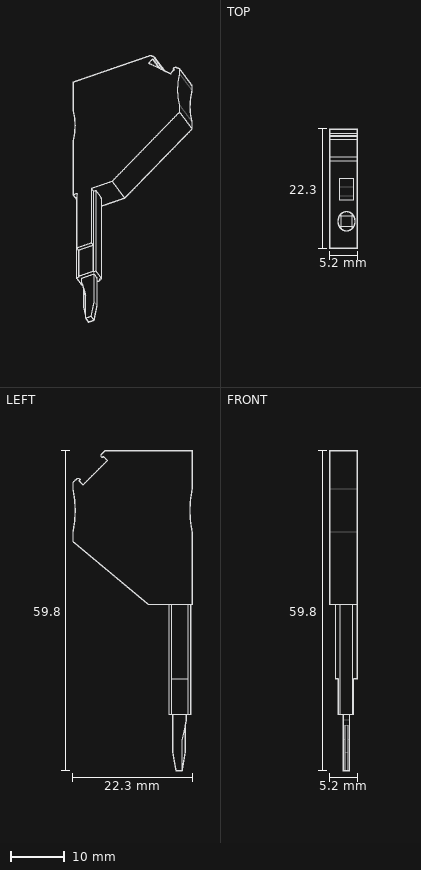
import cadquery as cq


WIDTH = 5.2
DEPTH = 22.3
HEIGHT = 28.75
TOTAL_HEIGHT = 59.83
BOTTOM_REAR = 8.2
SLOPE_TOP = 11.75

GRIP_CENTRE = 17.55
GRIP_HALF_HEIGHT = 4.0
GRIP_SAG = 0.42

SEAT_UPPER_CORNER = (15.85, HEIGHT - 1.84)
SEAT_LOWER_CORNER = (20.4, HEIGHT - 6.39)
LIP_START = 16.3
LIP_CHAMFER = 0.75
LIP_NOSE = 0.35
LIP_BARB = 0.22

SLOT_X = (1.8, 4.5)
SLOT_Y = (9.05, 13.1)
SLOT_DEPTH = 4.8
SLOT_FLOOR_FRONT = 11.45
SLOT_HOLLOW_FRONT = 9.8
SLOT_HOLLOW_RISE = 1.3

ENTRY_CENTRE = (3.15, 5.08)
ENTRY_SIZE = (3.2, 3.65)
ENTRY_BORE_DEPTH = 5.0
FUNNEL_DEPTH = 1.5
FUNNEL_FLOOR_SIZE = 2.0
FUNNEL_TAPER = 30.0

CORE_X = (1.6, 4.5)
CORE_Y = (0.25, 4.35)
CORE_LENGTH = 20.55
SIDE_RIB_Y = (0.8, 3.85)
FRONT_RIB_X = (1.95, 4.3)
SLEEVE_X = (1.05, WIDTH)
SLEEVE_LENGTH = 13.9

BLADE_X = (2.5, 3.75)
BLADE_Y = (1.08, 3.67)
BLADE_TIP_Y = (1.88, 3.05)
TAPER_TOP_Z = -27.6
RELIEF_TOP_Z = -21.6
RELIEF_BOTTOM_Z = -25.2
RELIEF_Y = 1.88
RIB_X = (2.88, 3.4)
RIB_Y = 1.3
TIP_Z = HEIGHT - TOTAL_HEIGHT


def box(x_range, y_range, z_range):
    """Axis-aligned box between the given limits."""
    ranges = (x_range, y_range, z_range)
    size = [high - low for low, high in ranges]
    corner = tuple(low for low, high in ranges)
    return cq.Workplane("XY").box(*size, centered=False).translate(corner)


def profile(points, x_range):
    """Closed polygon of (Y, Z) points extruded between two X limits."""
    low, high = x_range
    return cq.Workplane("YZ", origin=(low, 0, 0)).polyline(points).close().extrude(high - low)


def mirror_across_seat(point):
    """Mirror a (Y, Z) point about the line square to the seat through its middle."""
    mid_y = (SEAT_UPPER_CORNER[0] + SEAT_LOWER_CORNER[0]) / 2
    mid_z = (SEAT_UPPER_CORNER[1] + SEAT_LOWER_CORNER[1]) / 2
    return (mid_y + point[1] - mid_z, mid_z + point[0] - mid_y)


def upper_lip():
    """Points of the upper lip, from the top face to the inner corner of the seat."""
    nose_y = LIP_START + LIP_CHAMFER
    nose_top = HEIGHT - LIP_CHAMFER
    nose_bottom = nose_top - LIP_NOSE
    return [
        (LIP_START, HEIGHT),
        (nose_y, nose_top),
        (nose_y, nose_bottom),
        (nose_y - LIP_BARB, nose_bottom - LIP_BARB),
        (nose_y - 2 * LIP_BARB, nose_bottom),
        SEAT_UPPER_CORNER,
    ]


def make_housing():
    lip = upper_lip()
    lower_lip = [mirror_across_seat(point) for point in reversed(lip)]
    grip_top = GRIP_CENTRE + GRIP_HALF_HEIGHT
    grip_bottom = GRIP_CENTRE - GRIP_HALF_HEIGHT
    outline = cq.Workplane("YZ").moveTo(0, 0).lineTo(0, grip_bottom)
    outline = outline.threePointArc((GRIP_SAG, GRIP_CENTRE), (0, grip_top)).lineTo(0, HEIGHT)
    for point in lip + lower_lip[:-1]:
        outline = outline.lineTo(*point)
    outline = outline.lineTo(DEPTH, lower_lip[-1][1]).lineTo(DEPTH, grip_top)
    outline = outline.threePointArc((DEPTH - GRIP_SAG, GRIP_CENTRE), (DEPTH, grip_bottom))
    return outline.lineTo(DEPTH, SLOPE_TOP).lineTo(BOTTOM_REAR, 0).close().extrude(WIDTH)


def make_slot():
    """Slot with a flat rear floor, a hollow rising to the front and a steep front wall."""
    floor_z = HEIGHT - SLOT_DEPTH
    hollow_run = SLOT_FLOOR_FRONT - SLOT_HOLLOW_FRONT
    return (
        cq.Workplane("YZ", origin=(SLOT_X[0], 0, 0))
        .moveTo(SLOT_Y[1], HEIGHT)
        .lineTo(SLOT_Y[1], floor_z)
        .lineTo(SLOT_FLOOR_FRONT, floor_z)
        .tangentArcPoint((-hollow_run, SLOT_HOLLOW_RISE), relative=True)
        .lineTo(SLOT_Y[0], HEIGHT)
        .close()
        .extrude(SLOT_X[1] - SLOT_X[0])
    )


def make_wire_entry():
    radius_x, radius_y = (size / 2 for size in ENTRY_SIZE)
    full_depth = ENTRY_BORE_DEPTH + FUNNEL_DEPTH
    oval = (
        cq.Workplane("XY", origin=(*ENTRY_CENTRE, HEIGHT))
        .ellipse(radius_x, radius_y)
        .extrude(-full_depth)
    )
    bore = oval.intersect(box((0, WIDTH), (0, DEPTH), (HEIGHT - ENTRY_BORE_DEPTH, HEIGHT)))
    funnel = (
        cq.Workplane("XY", origin=(*ENTRY_CENTRE, HEIGHT - full_depth))
        .rect(FUNNEL_FLOOR_SIZE, FUNNEL_FLOOR_SIZE)
        .extrude(FUNNEL_DEPTH, taper=-FUNNEL_TAPER)
    )
    return bore.union(funnel.intersect(oval))


def make_stem():
    """Plus-shaped core, with a shorter sleeve around its upper part."""
    side_ribs = box(CORE_X, SIDE_RIB_Y, (-CORE_LENGTH, 0))
    front_rear_ribs = box(FRONT_RIB_X, CORE_Y, (-CORE_LENGTH, 0))
    sleeve = box(SLEEVE_X, SIDE_RIB_Y, (-SLEEVE_LENGTH, 0))
    return side_ribs.union(front_rear_ribs).union(sleeve)


def make_blade():
    """Blade thinned at the front, with a narrow rib standing on the thinned face."""
    front, rear = BLADE_Y
    tip_front, tip_rear = BLADE_TIP_Y
    blade_points = [
        (rear, -CORE_LENGTH),
        (rear, TAPER_TOP_Z),
        (tip_rear, TIP_Z),
        (RELIEF_Y, TIP_Z),
        (RELIEF_Y, RELIEF_BOTTOM_Z),
        (front, RELIEF_TOP_Z),
        (front, -CORE_LENGTH),
    ]
    rib_points = [
        (rear, RELIEF_TOP_Z),
        (RIB_Y, RELIEF_TOP_Z),
        (RIB_Y, TAPER_TOP_Z),
        (tip_front, TIP_Z),
        (tip_rear, TIP_Z),
    ]
    return profile(blade_points, BLADE_X).union(profile(rib_points, RIB_X))


housing = make_housing().cut(make_slot()).cut(make_wire_entry())
result = housing.union(make_stem()).union(make_blade())